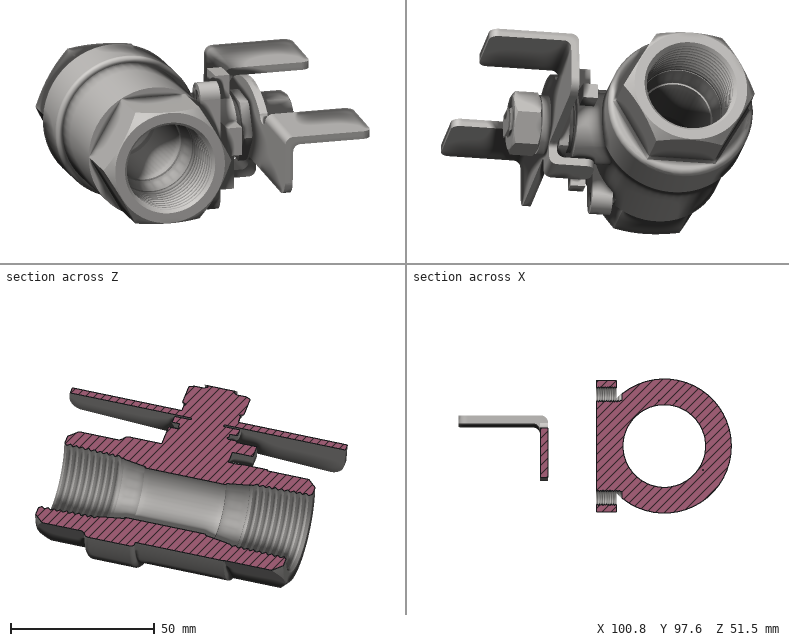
import cadquery as cq
import math


bore_d = 25.0
body_half_length = 45.1
body_d = 47.0
body_end_x = 24.4
flange_d = 51.5
flange_start_x = -26.1
flange_end_x = -7.7
flange_start_round = 2.0
flange_end_round = 1.6
end_hex_width = 40.4
end_face_d = 40.0
collar_length = 1.1
collar_step = 0.8

thread_mouth_d = 32.9
thread_taper = 1 / 16
thread_pitch = 2.2
thread_depth = 1.0
thread_turns = 10
runout_start_d = 29.2
runout_end_d = 26.2
runout_length = 8.1

boss_d = 10.0
boss_x = 21.7
boss_z = 18.1
boss_front_y = 16.5
boss_back_y = 23.8
boss_thread_d = 5.1
boss_thread_pitch = 0.8
boss_thread_depth = 0.5
boss_thread_turns = 11

neck_d = 25.0
neck_top_y = 34.3
lug_bottom_y = 28.4
lug_top_y = 33.6
lug_reach = 20.0
lug_half_width = 5.0
lower_lug_width = 5.1
stop_lug_low_z = 3.3
stop_lug_tip_z = 8.5
stop_lug_root_z = 10.1
stop_lug_root_x = -7.5

gland_d = 18.5
gland_groove_width = 0.8
gland_groove_depth = 0.6
gland_hex_corner_d = 25.2
gland_hex_angle = 6.0
gland_hex_start_y = 36.6
gland_hex_end_y = 39.9
gland_hex_chamfer = 0.4
stem_d = 12.0
stem_flat_width = 8.3
stem_end_y = 57.5
stem_groove_depth = 1.2
washer_d = 20.7
washer_end_y = 46.3
nut_width = 19.5
nut_end_y = 56.0
nut_face_d = 19.0

handle_angle = 3.3
sheet = 2.8
plate_back_y = 43.3
plate_front_y = plate_back_y - sheet
bend_outer_r = 2.7
bend_inner_r = 2.5
sheet_corner_r = 3.1
arm_half_length = 50.0
arm_bottom_z = -9.8
arm_corner_r = 4.9
wing_inner_x = 24.9
wing_top_z = 12.1
wing_end_y = 71.8
hump_top_z = 16.6
hump_end_x = 18.3
hump_end_z = 10.1
relief_low_x = 21.8
relief_low_z = 7.6
stop_tab_half_width = 5.5
stop_tab_bottom_z = -17.5
stop_tab_end_y = 26.9
stop_tab_fillet = 1.8


def rod_x(diameter, start_x, end_x):
    """Round bar along X."""
    return cq.Workplane("YZ", origin=(start_x, 0, 0)).circle(diameter / 2).extrude(end_x - start_x)


def rod_y(diameter, start_y, end_y, x=0, z=0):
    """Round bar along Y."""
    plane = cq.Workplane("XZ", origin=(x, start_y, z))
    return plane.circle(diameter / 2).extrude(start_y - end_y)


def hex_corner_d(width):
    """Corner-to-corner size of a hexagon with the given width across flats."""
    return width / math.cos(math.pi / 6)


def end_hex(inner_x):
    """Pipe-end hexagon from inner_x out to the +X end, with its outer corners turned off at 45 degrees."""
    corner_d = hex_corner_d(end_hex_width)
    length = body_half_length - inner_x
    hexagon = cq.Workplane("YZ", origin=(inner_x, 0, 0)).polygon(6, corner_d).extrude(length)
    chamfer = (corner_d - end_face_d) / 2
    turned = rod_x(corner_d, inner_x, body_half_length).faces(">X").chamfer(chamfer)
    return hexagon.intersect(turned)


def thread_cutter(mouth_d, taper, pitch, depth, turns):
    """Threaded plug along -X from its mouth at the origin, with V ridges in place of a helix."""
    points = [(0, 0)]
    for turn in range(turns):
        ridge_x = -turn * pitch
        ridge_r = (mouth_d + ridge_x * taper) / 2
        groove_r = ridge_r - depth
        points.append((ridge_x, ridge_r))
        points.append((ridge_x - pitch / 2, groove_r))
    points.append((-turns * pitch, groove_r))
    points.append((-turns * pitch, 0))
    return cq.Workplane("XY").polyline(points).close().revolve(360, (0, 0, 0), (1, 0, 0))


def thread_runout():
    """Cutter for the cone between the thread and the bore at the +X end."""
    start_x = body_half_length - thread_turns * thread_pitch
    end_x = start_x - runout_length
    points = [(start_x, 0), (start_x, runout_start_d / 2), (end_x, runout_end_d / 2), (end_x, 0)]
    return cq.Workplane("XY").polyline(points).close().revolve(360, (0, 0, 0), (1, 0, 0))


def make_body():
    barrel = rod_x(body_d, flange_end_x, body_end_x)
    flange = rod_x(flange_d, flange_start_x, flange_end_x)
    flange = flange.faces("<X").edges().fillet(flange_start_round)
    flange = flange.faces(">X").edges().fillet(flange_end_round)
    plain_end = end_hex(body_end_x)
    flange_side_end = end_hex(-flange_start_x).mirror("YZ")
    collar = (
        cq.Workplane("YZ", origin=(flange_start_x - collar_length, 0, 0))
        .polygon(6, hex_corner_d(end_hex_width))
        .workplane(offset=collar_length)
        .polygon(6, hex_corner_d(end_hex_width + 2 * collar_step))
        .loft(ruled=True)
    )
    return barrel.union(flange).union(plain_end).union(flange_side_end).union(collar)


def make_bosses():
    return (
        cq.Workplane("XZ", origin=(boss_x, boss_back_y, 0))
        .slot2D(2 * boss_z + boss_d, boss_d, 90)
        .extrude(boss_back_y - boss_front_y)
    )


def make_neck():
    lug_height = lug_top_y - lug_bottom_y
    lug_plane = cq.Workplane("XZ", origin=(0, lug_top_y, 0))
    upper_lug = lug_plane.center(0, lug_reach / 2).rect(2 * lug_half_width, lug_reach).extrude(lug_height)
    side_lug = lug_plane.center(lug_reach / 2, 0).rect(lug_reach, 2 * lug_half_width).extrude(lug_height)
    lower_lug = (
        lug_plane.center(lug_half_width + lower_lug_width / 2, -lug_reach / 2)
        .rect(lower_lug_width, lug_reach)
        .extrude(lug_height)
    )
    stop_lug = (
        lug_plane.moveTo(0, stop_lug_low_z)
        .lineTo(-lug_reach, stop_lug_low_z)
        .lineTo(-lug_reach, stop_lug_tip_z)
        .lineTo(stop_lug_root_x, stop_lug_root_z)
        .lineTo(0, stop_lug_root_z)
        .close()
        .extrude(lug_height)
    )
    neck = rod_y(neck_d, 0, neck_top_y)
    return neck.union(upper_lug).union(side_lug).union(lower_lug).union(stop_lug)


def v_groove(diameter, depth, start_y, end_y):
    """Ring cutter along Y that leaves a V groove in a bar of the given diameter."""
    outer_r = diameter / 2
    return (
        cq.Workplane("XY")
        .moveTo(outer_r, start_y)
        .lineTo(outer_r - depth, (start_y + end_y) / 2)
        .lineTo(outer_r, end_y)
        .close()
        .revolve(360, (0, 0, 0), (0, 1, 0))
    )


def make_stem():
    """Gland, flatted stem, washer and nut."""
    groove_end_y = neck_top_y + gland_groove_width
    gland = rod_y(gland_d, neck_top_y, gland_hex_start_y)
    gland = gland.cut(v_groove(gland_d, gland_groove_depth, neck_top_y, groove_end_y))
    gland_hex = (
        cq.Workplane("XZ", origin=(0, gland_hex_start_y, 0))
        .polygon(6, gland_hex_corner_d)
        .extrude(gland_hex_start_y - gland_hex_end_y)
        .rotate((0, 0, 0), (0, 1, 0), gland_hex_angle)
    )
    gland_blank = rod_y(gland_hex_corner_d, gland_hex_start_y, gland_hex_end_y)
    gland_hex = gland_hex.intersect(gland_blank.faces(">Y").chamfer(gland_hex_chamfer))
    flats = cq.Workplane("XZ").rect(stem_d, stem_flat_width).extrude(-stem_end_y)
    stem = rod_y(stem_d, neck_top_y, stem_end_y).intersect(flats)
    stem = stem.cut(v_groove(stem_d, stem_groove_depth, nut_end_y, stem_end_y))
    washer = rod_y(washer_d, plate_back_y, washer_end_y)
    nut_corner_d = hex_corner_d(nut_width)
    nut_chamfer = (nut_corner_d - nut_face_d) / 2
    nut = (
        cq.Workplane("XZ", origin=(0, washer_end_y, 0))
        .polygon(6, nut_corner_d)
        .extrude(washer_end_y - nut_end_y)
    )
    turned = rod_y(nut_corner_d, washer_end_y, nut_end_y)
    turned = turned.faces("<Y or >Y").chamfer(nut_chamfer / 2, nut_chamfer)
    nut = nut.intersect(turned)
    return gland.union(gland_hex).union(stem).union(washer).union(nut)


def bent_strip(start_x, end_x, leg_z, edge_z, outer_y, inner_y, end_y):
    """L-shaped strip: a leg in the handle plate from leg_z to edge_z, then a flange along Y to end_y."""
    inner_z = edge_z - math.copysign(sheet, edge_z)
    profile = [
        (outer_y, leg_z),
        (outer_y, edge_z),
        (end_y, edge_z),
        (end_y, inner_z),
        (inner_y, inner_z),
        (inner_y, leg_z),
    ]
    middle_x = (start_x + end_x) / 2
    strip = cq.Workplane("YZ", origin=(start_x, 0, 0)).polyline(profile).close().extrude(end_x - start_x)
    strip = strip.edges(cq.NearestToPointSelector((middle_x, outer_y, edge_z))).fillet(bend_outer_r)
    strip = strip.edges(cq.NearestToPointSelector((middle_x, inner_y, inner_z))).fillet(bend_inner_r)
    end_side = ">Y" if end_y > outer_y else "<Y"
    return strip.faces(end_side).edges("|Z").fillet(sheet_corner_r)


def make_handle():
    corner_mid = arm_corner_r * (1 - math.sqrt(0.5))
    fillet_mid = stop_tab_fillet * (1 - math.sqrt(0.5))
    wing_bend_z = wing_top_z - bend_outer_r
    stop_bend_z = arm_bottom_z - stop_tab_fillet
    hump_sag = hump_top_z - hump_end_z
    hump_r = (hump_end_x**2 + hump_sag**2) / (2 * hump_sag)
    half_plate = (
        cq.Workplane("XZ", origin=(0, plate_back_y, 0))
        .moveTo(0, hump_top_z)
        .radiusArc((hump_end_x, hump_end_z), hump_r)
        .threePointArc((relief_low_x, relief_low_z), (wing_inner_x, wing_bend_z))
        .lineTo(arm_half_length, wing_bend_z)
        .lineTo(arm_half_length, arm_bottom_z + arm_corner_r)
        .threePointArc(
            (arm_half_length - corner_mid, arm_bottom_z + corner_mid),
            (arm_half_length - arm_corner_r, arm_bottom_z),
        )
        .lineTo(stop_tab_half_width + stop_tab_fillet, arm_bottom_z)
        .threePointArc(
            (stop_tab_half_width + fillet_mid, arm_bottom_z - fillet_mid),
            (stop_tab_half_width, stop_bend_z),
        )
        .lineTo(0, stop_bend_z)
        .close()
        .extrude(sheet)
    )
    wing = bent_strip(
        wing_inner_x, arm_half_length, 0, wing_top_z, plate_front_y, plate_back_y, wing_end_y
    )
    half_handle = half_plate.union(wing)
    stop_tab = bent_strip(
        -stop_tab_half_width,
        stop_tab_half_width,
        stop_bend_z,
        stop_tab_bottom_z,
        plate_back_y,
        plate_front_y,
        stop_tab_end_y,
    )
    handle = half_handle.union(half_handle.mirror("YZ")).union(stop_tab)
    return handle.rotate((0, 0, 0), (0, 1, 0), handle_angle)


result = make_body().union(make_bosses()).union(make_neck()).union(make_stem()).union(make_handle())

pipe_thread = thread_cutter(thread_mouth_d, thread_taper, thread_pitch, thread_depth, thread_turns)
pipe_thread = pipe_thread.translate((body_half_length, 0, 0))
result = result.cut(rod_x(bore_d, -body_half_length, body_half_length))
runout = thread_runout()
result = result.cut(runout).cut(runout.mirror("YZ"))
result = result.cut(pipe_thread).cut(pipe_thread.mirror("YZ"))

boss_thread = thread_cutter(
    boss_thread_d, 0, boss_thread_pitch, boss_thread_depth, boss_thread_turns
)
boss_thread = boss_thread.rotate((0, 0, 0), (0, 0, 1), 90)
for hole_z in (-boss_z, boss_z):
    result = result.cut(boss_thread.translate((boss_x, boss_back_y, hole_z)))